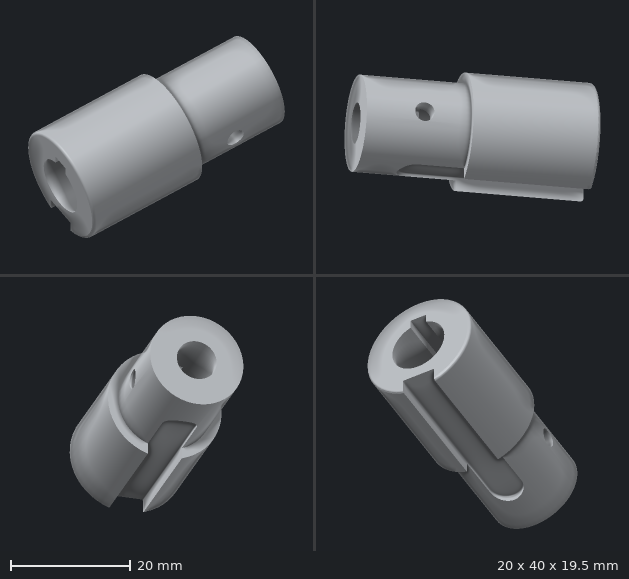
import cadquery as cq

total_length = 40.0
spigot_length = 18.0
body_diameter = 20.0
spigot_diameter = 16.4
front_rounding = 0.5

front_bore_diameter = 10.0
front_bore_depth = 30.0
through_bore_diameter = 7.0

key_width = 3.0
key_top = 6.4

slot_width = 6.0
slot_floor = 7.0
slot_floor_fillet = 0.2

cross_hole_diameter = 3.3
inner_tube_diameter = 8.0

front_y = -total_length / 2
back_y = total_length / 2
body_length = total_length - spigot_length
bore_end_y = front_y + front_bore_depth


def rod(diameter, start_y, length):
    """Cylinder on the Y axis running from start_y toward +Y."""
    plane = cq.Plane(origin=(0, start_y, 0), xDir=(1, 0, 0), normal=(0, 1, 0))
    return cq.Workplane(plane).circle(diameter / 2).extrude(length)


def outer_shape():
    body = rod(body_diameter, front_y, body_length).faces("<Y").fillet(front_rounding)
    return body.union(rod(spigot_diameter, front_y + body_length, spigot_length))


def keyway():
    block = cq.Workplane("XY").box(key_width, front_bore_depth, key_top, centered=(True, False, False))
    return block.translate((0, front_y, 0))


def underside_slot():
    """Open at the front; its round end is centred level with the end of the front bore."""
    half_width = slot_width / 2
    return (
        cq.Workplane("XY")
        .workplane(offset=-slot_floor)
        .moveTo(-half_width, front_y)
        .lineTo(-half_width, bore_end_y)
        .threePointArc((0, bore_end_y + half_width), (half_width, bore_end_y))
        .lineTo(half_width, front_y)
        .close()
        .extrude(-body_diameter / 2)
        .edges(">Z and (not <Y)")
        .fillet(slot_floor_fillet)
    )


def cross_hole():
    """Drilled along X at the end of the front bore; the inner tube stays whole."""
    drill = (
        cq.Workplane("YZ")
        .center(bore_end_y, 0)
        .circle(cross_hole_diameter / 2)
        .extrude(body_diameter / 2, both=True)
    )
    inner_tube = rod(inner_tube_diameter, bore_end_y, back_y - bore_end_y)
    return drill.cut(inner_tube)


result = (
    outer_shape()
    .cut(rod(front_bore_diameter, front_y, front_bore_depth))
    .cut(rod(through_bore_diameter, front_y, total_length))
    .cut(keyway())
    .cut(underside_slot())
    .cut(cross_hole())
)